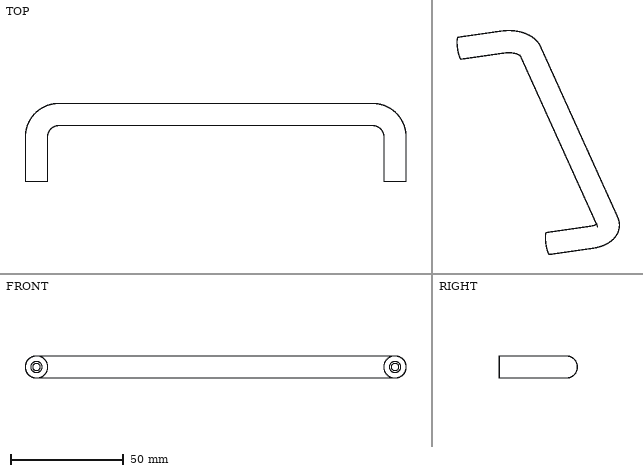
import cadquery as cq
import math

bar_diameter = 10.0
hole_spacing = 160.0
overall_depth = 35.0
bend_radius = 10.0

tap_diameter = 3.3
countersink_diameter = 5.0
countersink_angle = 90.0
drill_point_angle = 118.0
hole_depth = 10.0

leg_x = hole_spacing / 2
leg_end_y = 0.0
grip_y = leg_end_y + overall_depth - bar_diameter / 2
bend_y = grip_y - bend_radius
bend_x = leg_x - bend_radius


def cone_height(radius_change, included_angle):
    """Axial length over which a cone's radius changes by radius_change."""
    return radius_change / math.tan(math.radians(included_angle / 2))


def bent_bar():
    """Round bar swept along one leg, the grip and the other leg."""
    path = (
        cq.Workplane("XY")
        .moveTo(-leg_x, leg_end_y)
        .lineTo(-leg_x, bend_y)
        .radiusArc((-bend_x, grip_y), bend_radius)
        .lineTo(bend_x, grip_y)
        .radiusArc((leg_x, bend_y), bend_radius)
        .lineTo(leg_x, leg_end_y)
    )
    section = cq.Workplane("XZ", origin=(-leg_x, leg_end_y, 0)).circle(bar_diameter / 2)
    return section.sweep(path)


def fixing_hole(x):
    """Countersunk blind hole running in +Y from the leg end at x."""
    tap_radius = tap_diameter / 2
    mouth_radius = countersink_diameter / 2
    countersink_depth = cone_height(mouth_radius - tap_radius, countersink_angle)
    tip_depth = hole_depth + cone_height(tap_radius, drill_point_angle)
    profile = (
        cq.Workplane("XY", origin=(x, leg_end_y, 0))
        .lineTo(mouth_radius, 0)
        .lineTo(tap_radius, countersink_depth)
        .lineTo(tap_radius, hole_depth)
        .lineTo(0, tip_depth)
        .close()
    )
    return profile.revolve(360, (0, 0, 0), (0, 1, 0))


result = bent_bar()
for hole_x in (-leg_x, leg_x):
    result = result.cut(fixing_hole(hole_x))